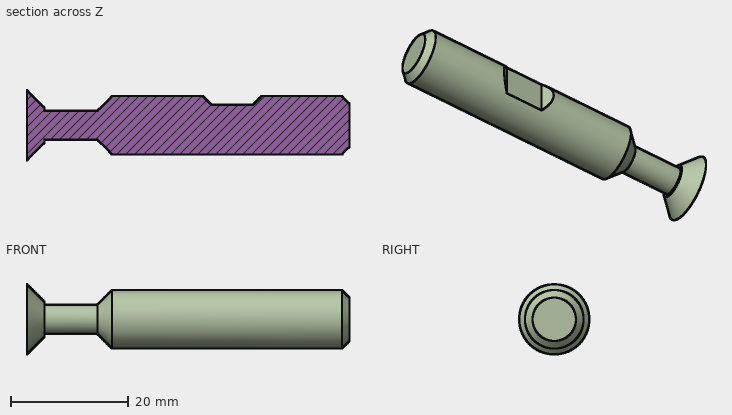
import cadquery as cq

total_length = 55.0

head_diameter = 12.0
head_length = 3.0

neck_diameter = 5.0
neck_end = 12.0

shank_diameter = 10.0
end_chamfer = 1.3

flat_depth = 1.5
flat_floor_length = 7.0
flat_center = 35.0

head_radius = head_diameter / 2
head_back_radius = head_radius - head_length
neck_radius = neck_diameter / 2
shank_radius = shank_diameter / 2
shank_start = neck_end + shank_radius - neck_radius


def turned_body():
    """Revolve the half profile about the X axis."""
    return (
        cq.Workplane("XZ")
        .polyline([
            (0, 0),
            (0, head_radius),
            (head_length, head_back_radius),
            (head_length, neck_radius),
            (neck_end, neck_radius),
            (shank_start, shank_radius),
            (total_length - end_chamfer, shank_radius),
            (total_length, shank_radius - end_chamfer),
            (total_length, 0),
        ])
        .close()
        .revolve(360, (0, 0, 0), (1, 0, 0))
    )


def clamping_flat():
    """Trapezoidal cutter that spans the full shank width in Z."""
    half_floor = flat_floor_length / 2
    half_mouth = half_floor + flat_depth
    floor_y = shank_radius - flat_depth
    return (
        cq.Workplane("XY")
        .polyline([
            (flat_center - half_floor, floor_y),
            (flat_center + half_floor, floor_y),
            (flat_center + half_mouth, shank_radius),
            (flat_center - half_mouth, shank_radius),
        ])
        .close()
        .extrude(shank_radius, both=True)
    )


result = turned_body().cut(clamping_flat())